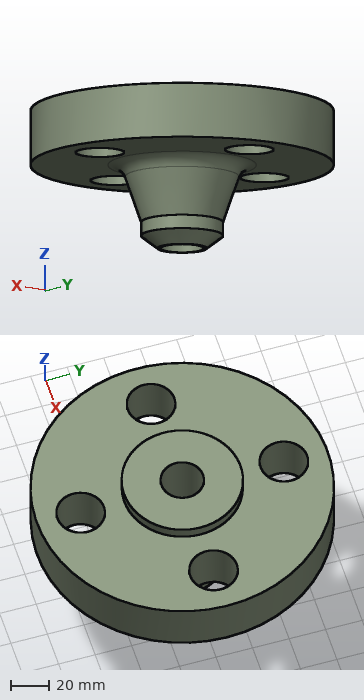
import cadquery as cq
import math

flange_diameter = 158.8
flange_thickness = 28.7
face_diameter = 63.5
face_height = 6.4

total_height = 79.4
neck_end_diameter = 42.9
neck_straight_length = 7.1
bevel_height = 6.7
bevel_end_diameter = 25.4
taper_top_diameter = 59.7
taper_length = 24.1

bore_diameter = 22.7
bolt_hole_diameter = 25.4
bolt_circle_diameter = 111.1
bolt_count = 4

straight_bottom = bevel_height
straight_top = straight_bottom + neck_straight_length
taper_top = straight_top + taper_length
face_bottom = total_height - face_height
flange_bottom = face_bottom - flange_thickness

taper_angle = math.atan2((taper_top_diameter - neck_end_diameter) / 2, taper_length)
root_radius = (flange_bottom - taper_top) / (1 - math.sin(taper_angle))
root_center_radius = taper_top_diameter / 2 + root_radius * math.cos(taper_angle)
root_center_height = flange_bottom - root_radius


def root_point(angle):
    """Point on the root arc; the angle is measured up from the inward direction."""
    return (
        root_center_radius - root_radius * math.cos(angle),
        root_center_height + root_radius * math.sin(angle),
    )


root_end_angle = math.pi / 2
root_middle_angle = (taper_angle + root_end_angle) / 2

body = (
    cq.Workplane("XZ")
    .moveTo(0, 0)
    .lineTo(bevel_end_diameter / 2, 0)
    .lineTo(neck_end_diameter / 2, straight_bottom)
    .lineTo(neck_end_diameter / 2, straight_top)
    .lineTo(taper_top_diameter / 2, taper_top)
    .threePointArc(root_point(root_middle_angle), root_point(root_end_angle))
    .lineTo(flange_diameter / 2, flange_bottom)
    .lineTo(flange_diameter / 2, face_bottom)
    .lineTo(face_diameter / 2, face_bottom)
    .lineTo(face_diameter / 2, total_height)
    .lineTo(0, total_height)
    .close()
    .revolve(360, (0, 0, 0), (0, 1, 0))
)

bore = cq.Workplane("XY").circle(bore_diameter / 2).extrude(total_height)
bolt_holes = (
    cq.Workplane("XY")
    .polarArray(bolt_circle_diameter / 2, 0, 360, bolt_count)
    .circle(bolt_hole_diameter / 2)
    .extrude(total_height)
)

result = body.cut(bore).cut(bolt_holes)